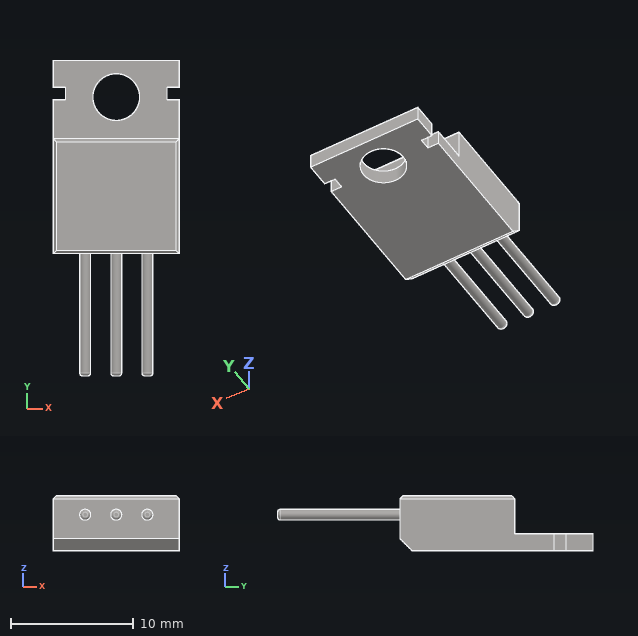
import cadquery as cq

body_width = 10.3
body_length = 9.4
body_height = 4.5
top_chamfer = 0.25
bottom_chamfer = 1.0

tab_length = 6.4
tab_thickness = 1.4
hole_diameter = 3.8
hole_from_tab_end = 3.0
notch_depth = 1.0
notch_width = 1.0
notch_from_tab_end = 2.2

lead_count = 3
lead_pitch = 2.54
lead_diameter = 0.9
lead_length = 10.0
lead_height = 2.95
lead_tip_radius = 0.25

tab_end = body_length + tab_length


def make_body():
    """Block with a bevelled top rim and a larger bevel under the leads."""
    block = cq.Workplane("XY").box(
        body_width, body_length, body_height, centered=(True, False, False)
    )
    block = block.faces(">Z").edges().chamfer(top_chamfer)
    return block.faces("<Y").edges("<Z").chamfer(bottom_chamfer)


def make_tab():
    """Flat plate with a mounting hole and a square notch in each side."""
    plate = (
        cq.Workplane("XY", origin=(0, body_length, 0))
        .box(body_width, tab_length, tab_thickness, centered=(True, False, False))
    )
    hole = (
        cq.Workplane("XY")
        .center(0, tab_end - hole_from_tab_end)
        .circle(hole_diameter / 2)
        .extrude(tab_thickness)
    )
    notch_center_y = tab_end - notch_from_tab_end - notch_width / 2
    notches = (
        cq.Workplane("XY")
        .pushPoints([(side * body_width / 2, notch_center_y) for side in (-1, 1)])
        .rect(2 * notch_depth, notch_width)
        .extrude(tab_thickness)
    )
    return plate.cut(hole).cut(notches)


def make_lead(x):
    """Round lead running toward -Y, with a rounded tip."""
    return (
        cq.Workplane("XZ", origin=(x, 0, lead_height))
        .circle(lead_diameter / 2)
        .extrude(lead_length)
        .faces("<Y")
        .edges()
        .fillet(lead_tip_radius)
    )


result = make_body().union(make_tab())
for index in range(lead_count):
    lead_x = (index - (lead_count - 1) / 2) * lead_pitch
    result = result.union(make_lead(lead_x))